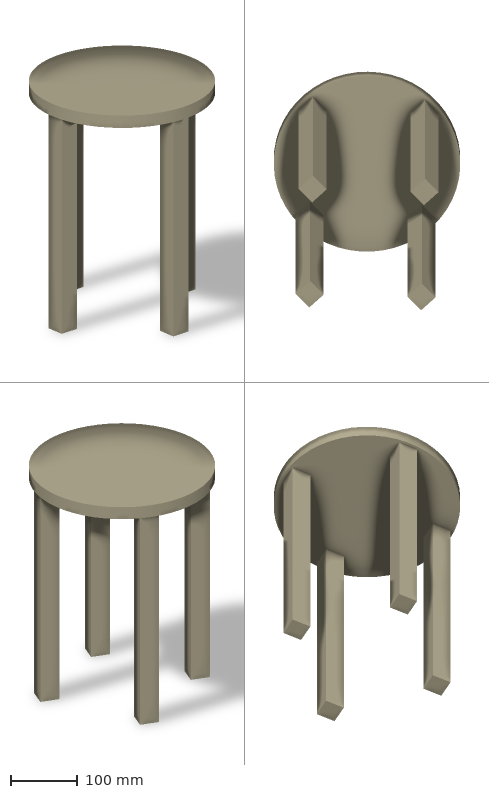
import cadquery as cq

total_height = 370.0
seat_diameter = 280.0
seat_thickness = 20.0

leg_count = 4
leg_width = 30.0
leg_center_radius = 118.8
leg_height = total_height - seat_thickness


def make_seat():
    """Round flat seat resting on top of the legs."""
    return (
        cq.Workplane("XY")
        .workplane(offset=leg_height)
        .circle(seat_diameter / 2)
        .extrude(seat_thickness)
    )


def make_leg(angle):
    """Square leg standing on the floor, turned about the seat axis by angle degrees."""
    return (
        cq.Workplane("XY")
        .center(leg_center_radius, 0)
        .rect(leg_width, leg_width)
        .extrude(leg_height)
        .rotate((0, 0, 0), (0, 0, 1), angle)
    )


seat = make_seat()
legs = [make_leg(i * 360 / leg_count) for i in range(leg_count)]

result = cq.Compound.makeCompound([seat.val(), *[leg.val() for leg in legs]])